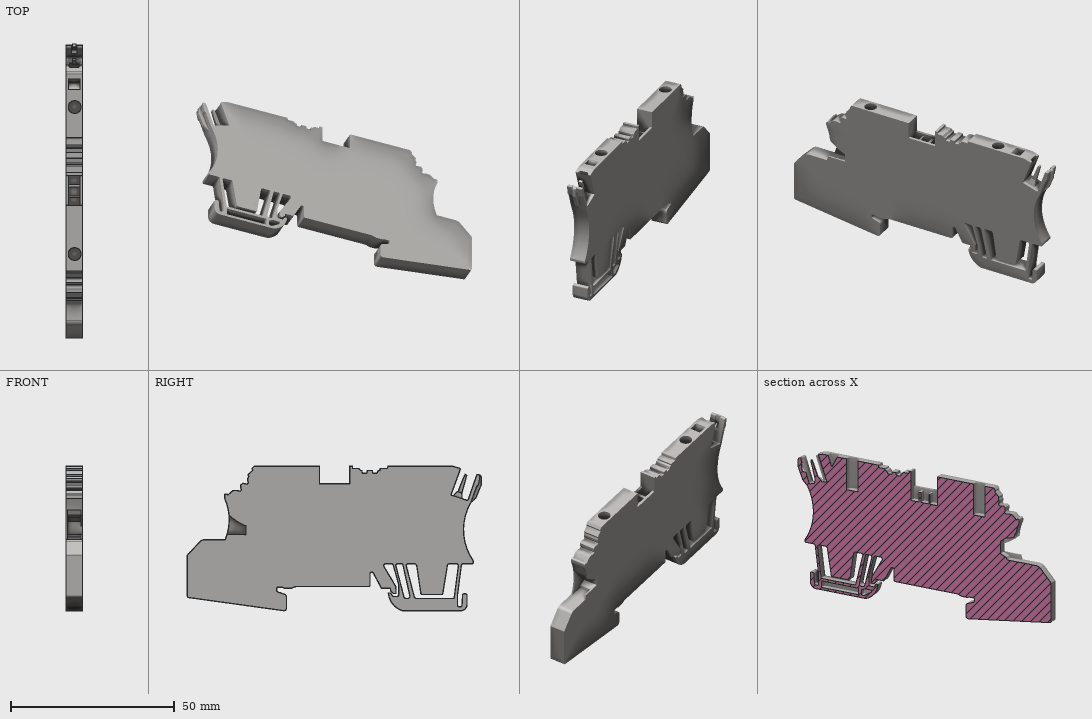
import cadquery as cq
import math


THICKNESS = 5.08
LENGTH = 89.84
HEIGHT = 44.25

DECK_Z = HEIGHT
MARKER_Z = DECK_Z - 0.75
GROOVE_Z = DECK_Z - 2.15
SILL_Z = 38.9
LEDGE_Z = 21.8
SHELF_Z = 14.4
RAIL_Z = 7.4
RAIL_LIP_Z = 6.9
SPRING_Z = 3.85

WINDOW_START_Y = 40.45
WINDOW_END_Y = 49.65

ENTRY_DIAMETER = 3.9
ENTRY_DEPTH = 10.0
ENTRY_X = 0.13
ENTRY_YS = (25.65, 70.55)

TEST_SLOT_WIDTH = 3.45
TEST_SLOT_START_Y = 75.9
TEST_SLOT_BOTTOM_Y = 77.85
TEST_SLOT_END_Y = 79.1
TEST_SLOT_DEPTH = 3.5

CHANNEL_WIDTH = 3.45
CHANNEL_DEPTH = 4.0
CHANNEL_RIBS = ((43.0, 43.45), (46.1, 46.95))
CHANNEL_RIB_DROP = 0.8

WAIST_POCKET_WIDTH = 4.15
POCKET_BACK_Y = 18.0
WAIST_WINDOW_SILL_Z = 23.3

FOOT_POCKET_DEPTH = 4.0
FOOT_POCKET_DRAFT = 3.0

RIB_WIDTH = 1.08
RIB_HEAD_WIDTH = 2.4
NOTCH_WIDTH = 1.65
GUSSET_WIDTH = 2.8
GUSSET_Y = 82.65
GUSSET_LENGTH = 2.9
GUSSET_HEIGHT = 1.6
GUSSET_TAPER = 25.0
PIN_GROOVE_MOUTH = 3.5
PIN_GROOVE_FLOOR = 2.7
PIN_GROOVE_DEPTH = 0.95
LATCH_LEAN = 20.0

FLOOR_OUTER = (85.73, 33.7)
FLOOR_INNER = (80.6, 35.4)


def corner(y, z, radius=0.0):
    """A profile corner, rounded when a radius is given."""
    return {"point": cq.Vector(y, z), "radius": radius, "mid": None}


def arc_to(mid, end):
    """A profile point reached by an arc through mid."""
    return {"point": cq.Vector(*end), "radius": 0.0, "mid": mid}


def draw_profile(nodes):
    """Closed YZ wire through the nodes, with tangent arcs at the rounded corners."""
    start = nodes[0]["point"]
    sketch = cq.Workplane("YZ").moveTo(start.x, start.y)
    for index, node in enumerate(nodes[1:], 1):
        point = node["point"]
        if node["mid"]:
            sketch = sketch.threePointArc(node["mid"], (point.x, point.y))
        elif node["radius"]:
            following = nodes[(index + 1) % len(nodes)]["point"]
            back = (nodes[index - 1]["point"] - point).normalized()
            ahead = (following - point).normalized()
            half_angle = back.getAngle(ahead) / 2
            setback = node["radius"] / math.tan(half_angle)
            centre = point + (back + ahead).normalized() * (node["radius"] / math.sin(half_angle))
            middle = centre + (point - centre).normalized() * node["radius"]
            entry = point + back * setback
            leave = point + ahead * setback
            sketch = sketch.lineTo(entry.x, entry.y)
            sketch = sketch.threePointArc((middle.x, middle.y), (leave.x, leave.y))
        else:
            sketch = sketch.lineTo(point.x, point.y)
    return sketch.close()


def plate(nodes, width):
    """Profile extruded to the given width, centred on X = 0."""
    return draw_profile(nodes).extrude(width / 2, both=True)


def corners(points):
    """Sharp corners from (y, z) pairs."""
    return [corner(y, z) for y, z in points]


def nose_profile():
    """Short end: ledge, slanted nose and the fixed rail hook."""
    return [
        corner(11.6, LEDGE_Z),
        corner(4.5, LEDGE_Z, 2.0),
        corner(0.0, 17.0, 0.3),
        corner(0.0, 4.1, 0.6),
        corner(30.4, -0.1, 0.9),
        corner(30.4, 4.9, 1.2),
        corner(27.4, 5.9, 0.4),
        corner(27.4, 7.15, 0.2),
        corner(29.2, 7.15),
        corner(29.7, RAIL_LIP_Z),
        corner(31.8, RAIL_LIP_Z),
        corner(33.2, RAIL_Z),
    ]


def rail_foot_profile():
    """Rail seat, catch and the sprung foot hanging from the shelf."""
    return [
        corner(55.85, RAIL_Z, 0.4),
        corner(55.85, 11.75, 0.4),
        corner(56.75, 11.75, 0.4),
        corner(59.3, RAIL_LIP_Z, 0.3),
        corner(62.0, RAIL_LIP_Z),
        corner(62.15, 6.1),
        corner(63.0, 5.3),
        corner(63.85, 5.3),
        corner(63.75, 7.45, 0.5),
        corner(59.9, 13.95, 0.5),
        corner(60.4, SHELF_Z, 0.3),
        corner(62.8, SHELF_Z, 0.6),
        corner(64.6, 8.0, 1.0),
        corner(64.6, 4.45, 0.5),
        corner(62.8, 4.45, 0.5),
        corner(62.2, 5.5),
        corner(61.4, 5.5),
        arc_to((62.75, 2.1), (65.85, 0.0)),
        corner(85.5, 0.0, 2.0),
        corner(85.5, 5.25, 0.5),
        corner(84.1, 5.25, 0.5),
        corner(83.9, 1.3, 0.4),
        corner(82.6, 1.3, 0.5),
        corner(82.6, 4.9),
        corner(83.85, SHELF_Z, 0.4),
    ]


def latch_end_profile():
    """Long end: concave wall, latch finger and the slanted latch floor."""
    return [
        corner(87.4, SHELF_Z, 0.3),
        corner(87.4, 15.3),
        arc_to((84.45, 24.4), (86.6, 33.0)),
        corner(88.4, 38.0),
        corner(88.95, 38.5),
        corner(89.5, 41.55, 0.3),
        corner(88.45, 41.65, 0.4),
        corner(*FLOOR_OUTER, 0.3),
        corner(*FLOOR_INNER),
        corner(83.55, 43.5, 0.4),
        corner(81.0, DECK_Z, 2.8),
    ]


def deck_profile():
    """Deck with its marker grooves and window, then the stepped shoulder."""
    deck = corners([
        (61.3, DECK_Z),
        (61.1, MARKER_Z),
        (58.9, MARKER_Z),
        (58.9, 43.0),
        (58.3, 42.85),
        (57.9, GROOVE_Z),
        (56.65, GROOVE_Z),
        (56.65, 42.9),
        (55.0, 42.9),
        (54.9, GROOVE_Z),
        (53.5, GROOVE_Z),
        (53.4, 42.9),
        (52.95, 42.9),
        (52.5, MARKER_Z),
        (50.5, MARKER_Z),
        (50.5, DECK_Z),
        (WINDOW_END_Y, DECK_Z),
        (WINDOW_END_Y, SILL_Z),
        (WINDOW_START_Y, SILL_Z),
        (WINDOW_START_Y, DECK_Z),
    ])
    shoulder = corners([
        (20.5, DECK_Z),
        (19.8, 43.5),
        (20.0, 42.95),
        (18.55, 41.6),
        (18.75, 41.0),
        (18.45, 40.4),
        (18.45, 39.7),
        (18.7, 39.2),
        (18.3, 38.75),
        (17.0, 39.0),
        (16.35, 38.5),
        (16.3, 37.5),
        (16.6, 37.0),
        (16.2, 36.6),
        (15.0, 36.85),
        (13.9, 36.75),
        (12.4, 35.4),
    ])
    lip = [
        corner(12.1, 35.75),
        corner(11.4, 35.75, 0.5),
        corner(11.4, 34.4),
        arc_to((12.8, 27.8), (11.6, LEDGE_Z)),
    ]
    return deck + shoulder + lip


def spring_openings():
    """Through openings that leave the thin spring legs of the rail foot."""
    around_tongue = [
        corner(81.5, SPRING_Z),
        corner(82.9, SHELF_Z, 0.6),
        corner(79.6, SHELF_Z, 0.6),
        corner(78.05, 4.95, 0.5),
        corner(71.4, 4.95, 0.5),
        corner(70.0, SHELF_Z, 0.8),
        corner(66.8, SHELF_Z, 0.5),
        corner(69.5, SPRING_Z, 0.5),
    ]
    between_legs = [
        corner(65.0, SHELF_Z),
        corner(63.6, SHELF_Z, 0.5),
        corner(66.35, SPRING_Z, 0.6),
        corner(68.15, SPRING_Z, 0.6),
        corner(65.8, SHELF_Z, 0.5),
    ]
    return plate(around_tongue, THICKNESS).union(plate(between_legs, THICKNESS))


def foot_pockets():
    """Drafted blind pockets sunk into the -X face of the foot."""
    bar = [
        corner(75.0, 0.8),
        corner(81.45, 0.8, 0.2),
        corner(81.45, 3.0, 0.2),
        corner(68.3, 3.0, 0.2),
        corner(68.3, 0.8, 0.2),
    ]
    heel = [
        corner(67.35, 2.0),
        corner(67.35, 2.75),
        corner(65.9, 3.25),
        corner(63.7, 3.25, 0.4),
        corner(63.7, 2.5, 0.3),
        corner(66.4, 0.9),
        corner(67.35, 0.9, 0.2),
    ]
    tools = cq.Workplane("YZ")
    for nodes in (bar, heel):
        tool = draw_profile(nodes).extrude(FOOT_POCKET_DEPTH, taper=FOOT_POCKET_DRAFT)
        tools = tools.union(tool)
    return tools.translate((-THICKNESS / 2, 0, 0))


def wire_entries():
    """Blind round holes sunk from the deck."""
    return (
        cq.Workplane("XY", origin=(0, 0, DECK_Z))
        .pushPoints([(ENTRY_X, y) for y in ENTRY_YS])
        .circle(ENTRY_DIAMETER / 2)
        .extrude(-ENTRY_DEPTH)
    )


def test_slot():
    """V-bottomed recess in the deck."""
    wedge = corners([
        (TEST_SLOT_START_Y, DECK_Z),
        (TEST_SLOT_BOTTOM_Y, DECK_Z - TEST_SLOT_DEPTH),
        (TEST_SLOT_END_Y, DECK_Z),
    ])
    return plate(wedge, TEST_SLOT_WIDTH)


def block(width, start_y, end_y, bottom_z, top_z):
    """Box centred on X = 0."""
    outline = corners([(start_y, bottom_z), (end_y, bottom_z), (end_y, top_z), (start_y, top_z)])
    return plate(outline, width)


def jumper_channel():
    """Channel under the window sill, less the cross ribs left standing in it."""
    bottom_z = SILL_Z - CHANNEL_DEPTH
    channel = block(CHANNEL_WIDTH, WINDOW_START_Y, WINDOW_END_Y, bottom_z, SILL_Z)
    for start_y, end_y in CHANNEL_RIBS:
        channel = channel.cut(block(CHANNEL_WIDTH, start_y, end_y, bottom_z, SILL_Z - CHANNEL_RIB_DROP))
    return channel


def waist_pocket():
    """Funnel-shaped pocket in the concave end wall, standing on the ledge."""
    funnel = corners([
        (10.0, LEDGE_Z),
        (15.6, LEDGE_Z),
        (16.0, 22.5),
        (POCKET_BACK_Y, WAIST_WINDOW_SILL_Z),
        (POCKET_BACK_Y, 27.3),
        (16.2, 28.6),
        (13.4, 29.3),
        (12.7, 30.8),
        (10.0, 30.8),
    ])
    return plate(funnel, WAIST_POCKET_WIDTH)


def waist_window():
    """Opening through the +X wall of the waist pocket, with a rounded upper edge."""
    opening = [
        corner(10.0, WAIST_WINDOW_SILL_Z),
        corner(POCKET_BACK_Y, WAIST_WINDOW_SILL_Z),
        corner(POCKET_BACK_Y, 25.9),
        arc_to((14.4, 27.9), (12.7, 29.3)),
        corner(10.0, 29.3),
    ]
    wall = (THICKNESS - WAIST_POCKET_WIDTH) / 2
    return draw_profile(opening).extrude(wall).translate((WAIST_POCKET_WIDTH / 2, 0, 0))


def pin_groove():
    """Flared groove in the slanted end wall that clears the latch pin."""
    wall_rise = DECK_Z - FLOOR_INNER[1]
    wall_lean = wall_rise * math.tan(math.radians(LATCH_LEAN))
    floor_y, floor_z = FLOOR_INNER
    half_mouth = PIN_GROOVE_MOUTH / 2
    half_floor = PIN_GROOVE_FLOOR / 2
    section = [
        (-half_mouth, floor_y),
        (half_mouth, floor_y),
        (half_floor, floor_y - PIN_GROOVE_DEPTH),
        (-half_floor, floor_y - PIN_GROOVE_DEPTH),
    ]
    path = cq.Workplane("YZ").moveTo(floor_y, floor_z).lineTo(floor_y + wall_lean, DECK_Z)
    return cq.Workplane("XY", origin=(0, 0, floor_z)).polyline(section).close().sweep(path)


def finger_notch():
    """Notch through the tip of the latch finger."""
    outline = corners([(90.5, 42.5), (88.9, 37.3), (86.2, 37.3), (87.8, 42.5)])
    return plate(outline, NOTCH_WIDTH)


def finger_rib():
    """Rib on the outer face of the finger, wider at its head."""
    stem = [
        corner(86.6, 33.0),
        corner(88.2, 34.5, 0.8),
        corner(LENGTH, 38.5, 0.5),
        corner(LENGTH, 41.55, 0.8),
        corner(88.8, 41.55),
        corner(88.4, 38.0),
    ]
    head = corners([(89.2, 39.9), (89.4, 41.3), (88.8, 41.6), (88.3, 39.9)])
    return plate(stem, RIB_WIDTH).union(plate(head, RIB_HEAD_WIDTH))


def latch_pin():
    """Slim pin on the latch floor with a tapered gusset at its root."""
    outline = corners([
        (82.7, 34.0),
        (82.7, 36.4),
        (84.4, 40.7),
        (84.9, 41.75),
        (85.4, 41.4),
        (85.2, 40.6),
        (83.95, 36.0),
        (83.95, 34.0),
    ])
    rise = FLOOR_INNER[1] - FLOOR_OUTER[1]
    run = FLOOR_OUTER[0] - FLOOR_INNER[0]
    root_z = FLOOR_INNER[1] - (GUSSET_Y - FLOOR_INNER[0]) * rise / run
    floor_plane = cq.Plane(origin=(0, GUSSET_Y, root_z), xDir=(1, 0, 0), normal=(0, rise, run))
    gusset = cq.Workplane(floor_plane).rect(GUSSET_WIDTH, GUSSET_LENGTH)
    gusset = gusset.extrude(GUSSET_HEIGHT, taper=GUSSET_TAPER)
    return plate(outline, RIB_WIDTH).union(gusset)


housing_profile = nose_profile() + rail_foot_profile() + latch_end_profile() + deck_profile()
housing = plate(housing_profile, THICKNESS)
cutters = (
    spring_openings,
    foot_pockets,
    wire_entries,
    test_slot,
    jumper_channel,
    waist_pocket,
    waist_window,
    pin_groove,
    finger_notch,
)
for cutter in cutters:
    housing = housing.cut(cutter())

result = housing.union(finger_rib()).union(latch_pin())